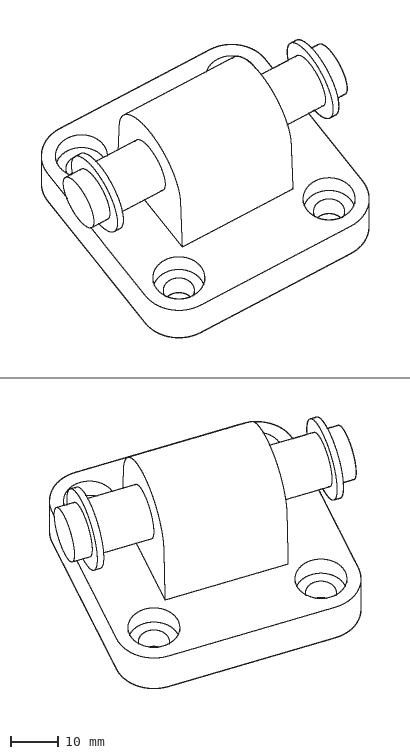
import cadquery as cq
import math

plate_side = 55.0
plate_thickness = 10.0
corner_radius = 8.5
hole_offset = plate_side / 2 - corner_radius
hole_diameter = 6.6
counterbore_diameter = 11.0
counterbore_depth = 4.6

total_height = 37.0
lug_radius = 12.0
lug_length = 28.0
lug_draft = math.radians(2.5)
axis_height = total_height - lug_radius

pin_diameter = 12.0
pin_length = 64
ring_diameter = 18.0
ring_thickness = 1.5
ring_inset = 4.0


def make_plate():
    """Rounded square plate with four counterbored corner holes."""
    plate = cq.Workplane("XY").rect(plate_side, plate_side).extrude(plate_thickness)
    return (
        plate.edges("|Z").fillet(corner_radius)
        .faces(">Z").workplane()
        .rect(2 * hole_offset, 2 * hole_offset, forConstruction=True).vertices()
        .cboreHole(hole_diameter, counterbore_diameter, counterbore_depth)
    )


def make_lug():
    """Lug whose drafted flanks run tangentially into its round top."""
    tangent_x = lug_radius * math.cos(lug_draft)
    tangent_z = axis_height + lug_radius * math.sin(lug_draft)
    foot_x = tangent_x + (tangent_z - plate_thickness) * math.tan(lug_draft)
    return (
        cq.Workplane("XZ")
        .moveTo(-foot_x, plate_thickness)
        .lineTo(-tangent_x, tangent_z)
        .threePointArc((0, total_height), (tangent_x, tangent_z))
        .lineTo(foot_x, plate_thickness)
        .close()
        .extrude(lug_length / 2, both=True)
    )


def make_disc(diameter, length, center_y):
    """Cylinder along Y on the pin axis, centered at center_y."""
    return (
        cq.Workplane("XZ", origin=(0, center_y + length / 2, axis_height))
        .circle(diameter / 2)
        .extrude(length)
    )


result = make_plate().union(make_lug()).union(make_disc(pin_diameter, pin_length, 0))

ring_center = pin_length / 2 - ring_inset - ring_thickness / 2
for side in (-1, 1):
    result = result.union(make_disc(ring_diameter, ring_thickness, side * ring_center))